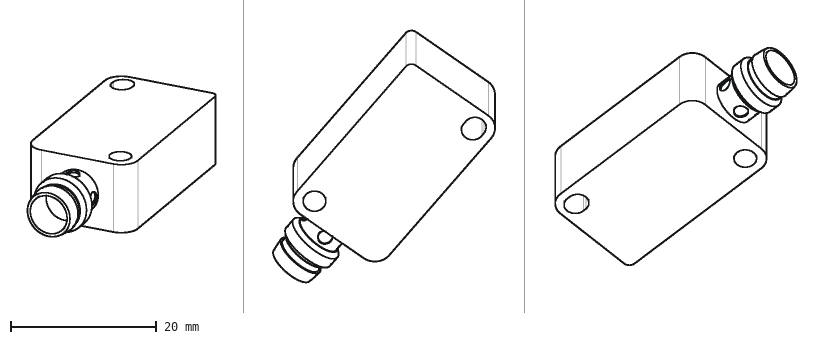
import cadquery as cq

width = 16.0
length = 27.8
height = 10.2
corner_radius = 2.5
small_corner_radius = 1.0

hole_diameter = 3.1
hole_edge_distance = 2.8
slot_length = 3.55

neck_radius = 3.2
collar_radius = 4.0
barb_radius = 3.5
tip_radius = 3.25
collar_start = 3.0
collar_chamfer = 0.65
collar_end = 6.0
barb_start = 7.0
barb_bulge = 0.05
stub_length = 9.0
bore_radius = 2.8
bore_depth = 5.0

dimple_diameter = 2.0
dimple_distance = 1.5
dimple_depth = 0.25
dimple_count = 4


def make_housing():
    block = cq.Workplane("XY").box(width, length, height).translate((0, length / 2, 0))
    block = block.edges("|Z").edges("<X or <Y").fillet(corner_radius)
    return block.edges(">X and >Y and |Z").fillet(small_corner_radius)


def make_mounting_holes():
    hole_x = width / 2 - hole_edge_distance
    slot_y = length - hole_edge_distance
    base = cq.Workplane("XY").workplane(offset=-height / 2)
    round_hole = base.center(hole_x, hole_edge_distance).circle(hole_diameter / 2).extrude(height)
    slot = base.center(-hole_x, slot_y).slot2D(slot_length, hole_diameter, 90).extrude(height)
    return round_hole.union(slot)


def make_stub():
    """Turned profile revolved about the Y axis, pointing towards -Y."""
    collar_base_radius = collar_radius - collar_chamfer
    barb_middle = ((barb_radius + tip_radius) / 2 + barb_bulge, -(barb_start + stub_length) / 2)
    profile = (
        cq.Workplane("XY")
        .moveTo(0, 0)
        .lineTo(neck_radius, 0)
        .lineTo(neck_radius, -collar_start)
        .lineTo(collar_base_radius, -collar_start)
        .lineTo(collar_radius, -(collar_start + collar_chamfer))
        .lineTo(collar_radius, -(collar_end - collar_chamfer))
        .lineTo(collar_base_radius, -collar_end)
        .lineTo(neck_radius, -collar_end)
        .lineTo(neck_radius, -barb_start)
        .lineTo(barb_radius, -barb_start)
        .threePointArc(barb_middle, (tip_radius, -stub_length))
        .lineTo(bore_radius, -stub_length)
        .lineTo(bore_radius, -(stub_length - bore_depth))
        .lineTo(0, -(stub_length - bore_depth))
        .close()
    )
    return profile.revolve(360, (0, 0, 0), (0, 1, 0))


def make_dimple(angle):
    """Round cutter sunk to a floor coaxial with the stub, turned about the Y axis from the top."""
    cutter = (
        cq.Workplane("XY")
        .center(0, -dimple_distance)
        .circle(dimple_diameter / 2)
        .extrude(collar_radius)
    )
    core = cq.Workplane("XZ").circle(neck_radius - dimple_depth).extrude(collar_start)
    return cutter.cut(core).rotate((0, 0, 0), (0, 1, 0), angle)


result = make_housing().cut(make_mounting_holes()).union(make_stub())
for index in range(dimple_count):
    result = result.cut(make_dimple(index * 360 / dimple_count))